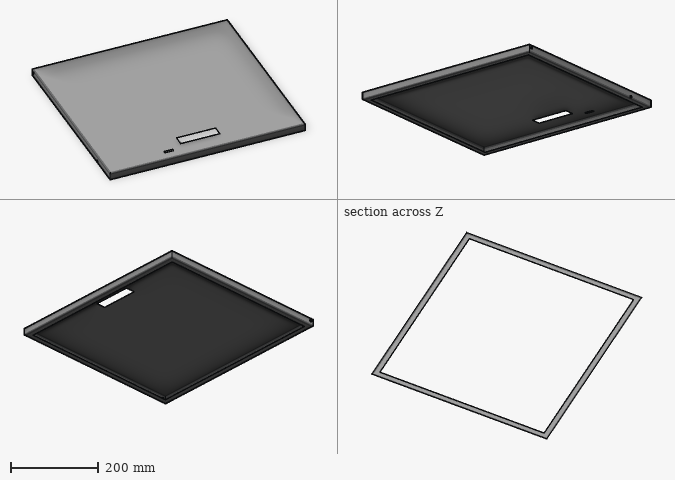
import cadquery as cq

length_x = 451.0
length_y = 490.0
height = 20.0
sheet = 1.0
bend_radius = 2.5
inner_bend_radius = bend_radius - sheet
lip_width = 14.5

window_x, window_y = 169.5, 0.0
window_width, window_length = 24.5, 98.0
slot_x, slot_y = 198.0, -85.8
slot_width, slot_length = 6.0, 22.0

hinge_diameter = 6.0
hinge_x = -length_x / 2 + 8.0
hinge_z = 12.2
cable_diameter = 6.5
cable_x = 150.5
cable_z = 4.5


def rounded_block(inset, radius):
    """Block inset equally on every side, with rounded top and bottom rims."""
    block = cq.Workplane("XY").box(length_x - 2 * inset, length_y - 2 * inset, height - 2 * inset)
    return block.translate((0, 0, height / 2)).faces("<Z or >Z").edges().fillet(radius)


def top_opening(x, y, width, length):
    """Rectangular cutter through the top sheet only."""
    cutter = cq.Workplane("XY").box(width, length, 2 * bend_radius)
    return cutter.translate((x, y, height))


def wall_hole(x, z, diameter, depth):
    """Round cutter running in +Y from the front face."""
    plane = cq.Workplane("XZ", origin=(x, -length_y / 2, z))
    return plane.circle(diameter / 2).extrude(-depth)


result = rounded_block(0, bend_radius).cut(rounded_block(sheet, inner_bend_radius))
underside = cq.Workplane("XY").rect(length_x - 2 * lip_width, length_y - 2 * lip_width).extrude(height / 2)
result = result.cut(underside)

result = result.cut(top_opening(window_x, window_y, window_width, window_length))
result = result.cut(top_opening(slot_x, slot_y, slot_width, slot_length))

result = result.cut(wall_hole(hinge_x, hinge_z, hinge_diameter, length_y))
result = result.cut(wall_hole(cable_x, cable_z, cable_diameter, lip_width / 2))